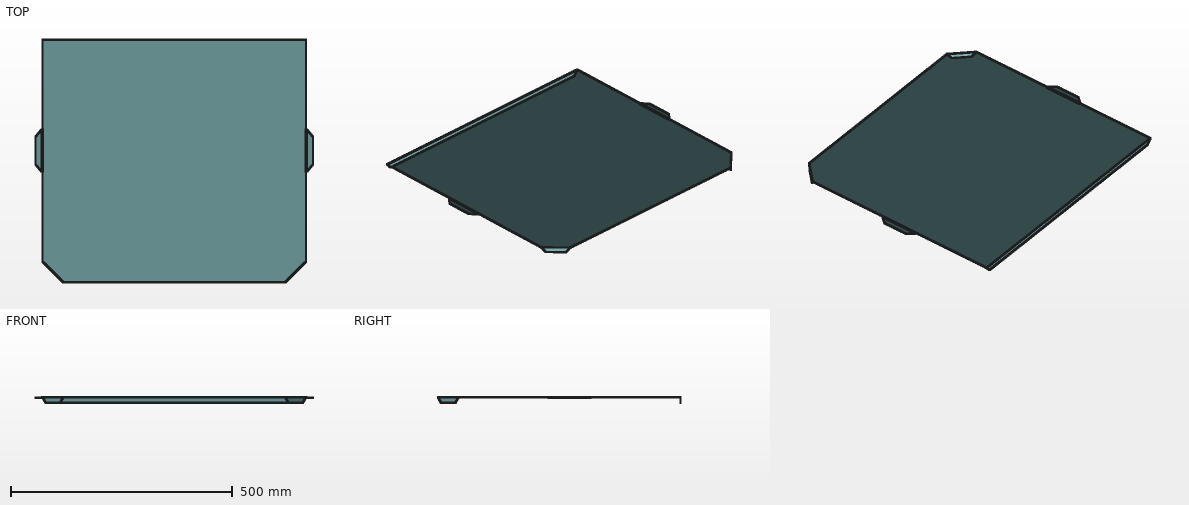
import cadquery as cq
import math

overall_width = 625.5
depth = 547.5
height = 13.0
sheet = 1.0

tab_reach = 15.5
tab_base = 95.0
tab_tip = 62.5
tab_center_y = 23.0
tab_step = 2.0
tab_drop = sheet

corner_cut = 46.0
flange_taper = 10.0

half_width = overall_width / 2 - tab_reach
half_depth = depth / 2


def make_panel():
    """Flat panel with its two front corners clipped."""
    return (
        cq.Workplane("XY")
        .workplane(offset=-sheet)
        .rect(2 * half_width, depth)
        .extrude(sheet)
        .edges("|Z and <Y")
        .chamfer(corner_cut)
    )


def make_flange(length, center_x, center_y, inward):
    """Tapered flange hanging from an edge; inward points from that edge into the panel."""
    plane = cq.Plane(
        origin=(center_x, center_y, 0),
        xDir=(-inward[1], inward[0], 0),
        normal=(inward[0], inward[1], 0),
    )
    top = length / 2
    bottom = top - flange_taper
    outline = [
        (-top, 0),
        (top, 0),
        (top, -sheet),
        (bottom, -height),
        (-bottom, -height),
        (-top, -sheet),
    ]
    return cq.Workplane(plane).polyline(outline).close().extrude(sheet)


def make_tab(side):
    """Side tab joined by a short sloping step; side is -1 or +1 along X."""
    inner = half_width - sheet
    edge = half_width
    foot = edge + tab_step
    tip = overall_width / 2
    profile = [
        (inner, 0),
        (edge, 0),
        (foot, -tab_drop),
        (tip, -tab_drop),
        (tip, -tab_drop - sheet),
        (inner, -tab_drop - sheet),
    ]
    strip = (
        cq.Workplane("XZ")
        .polyline([(side * x, z) for x, z in profile])
        .close()
        .extrude(tab_base / 2, both=True)
    )
    outline = [
        (inner, -tab_base / 2),
        (foot, -tab_base / 2),
        (tip, -tab_tip / 2),
        (tip, tab_tip / 2),
        (foot, tab_base / 2),
        (inner, tab_base / 2),
    ]
    trim = (
        cq.Workplane("XY")
        .polyline([(side * x, y) for x, y in outline])
        .close()
        .extrude(height, both=True)
    )
    return strip.intersect(trim).translate((0, tab_center_y, 0))


corner_length = corner_cut * math.sqrt(2)
result = make_panel()
result = result.union(make_flange(2 * half_width, 0, half_depth, (0, -1)))
for side in (-1, 1):
    corner_x = side * (half_width - corner_cut / 2)
    corner_y = -half_depth + corner_cut / 2
    result = result.union(make_flange(corner_length, corner_x, corner_y, (-side, 1)))
    result = result.union(make_tab(side))